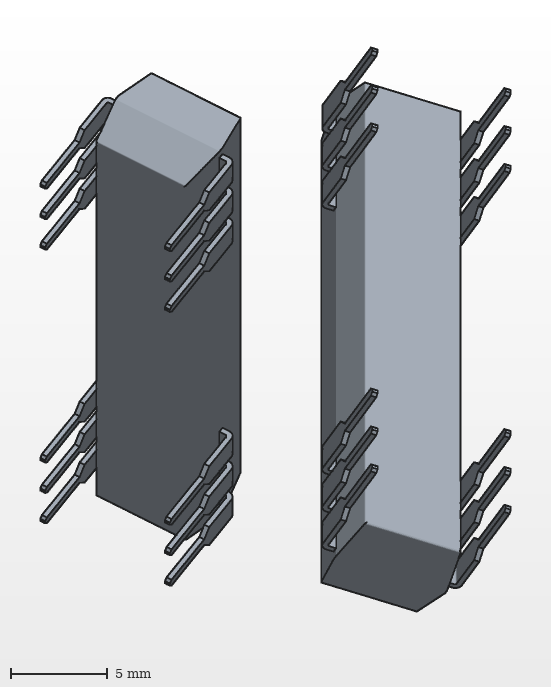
import cadquery as cq

body_length = 30.48
body_width = 6.37
overall_depth = 8.78
draft_inset = 0.45
band_thickness = 0.27
back_height = 2.5
front_height = 2.6
face_edge_radius = 0.1

position_count = 12
leads_per_end = 3
pitch = body_length / position_count
row_width = 7.92
lead_thickness = 0.3
bend_outer_radius = 0.37
bend_inner_radius = 0.1
shoulder_width = 1.5
pin_width = 0.5
shoulder_depth = 2.5
shoulder_taper = 0.5
tip_depth = overall_depth - back_height
tip_chamfer = 0.15
lead_embed = 0.6


def drafted_half(start_y, direction, height):
    """Frustum from the full waist outline to an outline inset on every side."""
    face_width = body_width - 2 * draft_inset
    face_length = body_length - 2 * draft_inset
    return (
        cq.Workplane("XZ", origin=(0, start_y, 0))
        .rect(body_width, body_length)
        .workplane(offset=-direction * height)
        .rect(face_width, face_length)
        .loft(ruled=True)
    )


def make_body():
    band = cq.Workplane("XY").box(body_width, band_thickness, body_length)
    band = band.translate((0, -band_thickness / 2, 0))
    back_half = drafted_half(0, 1, back_height)
    front_half = drafted_half(-band_thickness, -1, front_height)
    body = band.union(back_half).union(front_half)
    return body.faces("<Y or >Y").edges().fillet(face_edge_radius)


def make_lead():
    """Bent lead on the +X side, centred on Z = 0."""
    outer_x = row_width / 2
    inner_x = outer_x - lead_thickness
    root_x = body_width / 2 - lead_embed
    bent_strip = (
        cq.Workplane("XY")
        .moveTo(root_x, 0)
        .lineTo(outer_x - bend_outer_radius, 0)
        .radiusArc((outer_x, -bend_outer_radius), bend_outer_radius)
        .lineTo(outer_x, -tip_depth)
        .lineTo(inner_x, -tip_depth)
        .lineTo(inner_x, -lead_thickness - bend_inner_radius)
        .radiusArc((inner_x - bend_inner_radius, -lead_thickness), -bend_inner_radius)
        .lineTo(root_x, -lead_thickness)
        .close()
        .extrude(shoulder_width / 2, both=True)
    )
    half_shoulder = shoulder_width / 2
    half_pin = pin_width / 2
    half_outline = [
        (0, half_shoulder),
        (-shoulder_depth, half_shoulder),
        (-shoulder_depth - shoulder_taper, half_pin),
        (-tip_depth + tip_chamfer, half_pin),
        (-tip_depth, half_pin - tip_chamfer),
    ]
    mirrored_half = [(y, -z) for y, z in reversed(half_outline)]
    blank = cq.Workplane("YZ").polyline(half_outline + mirrored_half).close().extrude(outer_x)
    return bent_strip.intersect(blank)


result = make_body()
right_lead = make_lead()
left_lead = right_lead.mirror("YZ")
for index in range(leads_per_end):
    lead_z = (position_count - 1) / 2 * pitch - index * pitch
    for z in (lead_z, -lead_z):
        result = result.union(right_lead.translate((0, 0, z)))
        result = result.union(left_lead.translate((0, 0, z)))